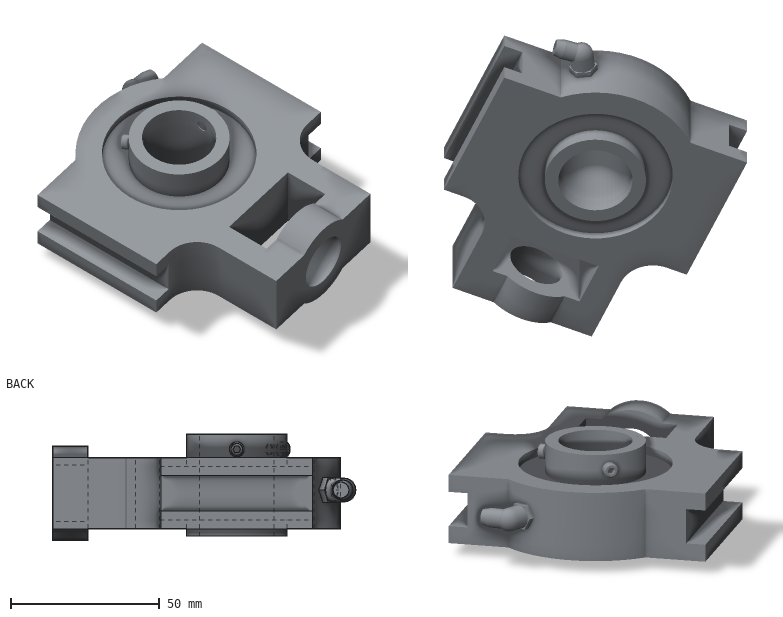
import cadquery as cq
import math


housing_thickness = 24.0
shell_radius = 34.9
wing_half_length = 25.5
wing_width = 89.0
wing_half_width = wing_width / 2
arm_end = 61.9
arm_half_width = 25.5
corner_radius = 11.7

groove_width = 12.0
groove_depth = 6.6

window_start = 34.0
window_end = 50.0
window_width = 31.8
boss_diameter = 31.8
boss_bore = 19.0

race_diameter = 52.0
race_width = 17.9
ring_diameter = 33.9
ring_bore = 25.0
ring_top = 19.9
ring_bottom = -14.4

screw_diameter = 5.0
screw_tip_radius = 19.6
screw_height = 14.8
screw_chamfer = 0.5
screw_point_diameter = 3.9
screw_point_recess = 0.3
socket_across_flats = 2.2
socket_depth = 2.0
screw_angles = (90, 210)

nipple_angle = 150
nipple_height = 1.1
hex_across_flats = 8.3
hex_face_radius = 36.8
elbow_diameter = 8.0
elbow_radius = 41.6
spout_angle = 84
spout_diameter = 6.6
spout_shoulder = 6.6
spout_length = 9.4
spout_tip_diameter = 5.3
nipple_root_radius = 30.6


def radial_plane(angle, radius, height):
    """Plane facing outward along a radius, with its local Y axis along Z."""
    turn = math.radians(angle)
    outward = (math.cos(turn), math.sin(turn), 0)
    sideways = (-math.sin(turn), math.cos(turn), 0)
    origin = (radius * outward[0], radius * outward[1], height)
    return cq.Plane(origin=origin, xDir=sideways, normal=outward)


def hexagon(plane, across_flats, length):
    """Hexagonal bar with two flats facing up and down."""
    across_corners = across_flats / math.cos(math.pi / 6)
    return cq.Workplane(plane).polygon(6, across_corners).extrude(length)


def make_housing_plate():
    shell_y = math.sqrt(shell_radius**2 - wing_half_length**2)
    fillet_x = wing_half_length + corner_radius
    fillet_y = arm_half_width + corner_radius
    outline = (
        cq.Workplane("XY", origin=(0, 0, -housing_thickness / 2))
        .moveTo(-wing_half_length, shell_y)
        .lineTo(-wing_half_length, wing_half_width)
        .lineTo(wing_half_length, wing_half_width)
        .lineTo(wing_half_length, fillet_y)
        .radiusArc((fillet_x, arm_half_width), -corner_radius)
        .lineTo(arm_end, arm_half_width)
        .lineTo(arm_end, -arm_half_width)
        .lineTo(fillet_x, -arm_half_width)
        .radiusArc((wing_half_length, -fillet_y), -corner_radius)
        .lineTo(wing_half_length, -wing_half_width)
        .lineTo(-wing_half_length, -wing_half_width)
        .lineTo(-wing_half_length, -shell_y)
        .threePointArc((-shell_radius, 0), (-wing_half_length, shell_y))
        .close()
    )
    return outline.extrude(housing_thickness)


def cut_guide_grooves(plate):
    for side in (-1, 1):
        groove = cq.Workplane("XY").box(2 * wing_half_length, 2 * groove_depth, groove_width)
        plate = plate.cut(groove.translate((0, side * wing_half_width, 0)))
    return plate


def add_screw_boss(plate):
    window_length = window_end - window_start
    window = cq.Workplane("XY").box(window_length, window_width, housing_thickness)
    plate = plate.cut(window.translate(((window_start + window_end) / 2, 0, 0)))
    end_wall = cq.Workplane("YZ", origin=(window_end, 0, 0))
    boss_length = arm_end - window_end
    boss = end_wall.circle(boss_diameter / 2).extrude(boss_length)
    bore = end_wall.circle(boss_bore / 2).extrude(boss_length)
    return plate.union(boss).cut(bore)


def revolved_on(plane, profile):
    """Turn an XZ profile about the Z axis and stand it on a plane."""
    turned = profile.revolve(360, (0, 0, 0), (0, 1, 0))
    return cq.Workplane(turned.val().located(cq.Location(plane)))


def make_grease_nipple():
    root = radial_plane(nipple_angle, nipple_root_radius, nipple_height)
    hex_base = hexagon(root, hex_across_flats, hex_face_radius - nipple_root_radius)

    neck_length = elbow_radius - nipple_root_radius
    elbow_half = elbow_diameter / 2
    neck_profile = (
        cq.Workplane("XZ")
        .lineTo(elbow_half, 0)
        .lineTo(elbow_half, neck_length)
        .radiusArc((0, neck_length + elbow_half), -elbow_half)
        .close()
    )
    neck = revolved_on(root, neck_profile)

    spout_profile = (
        cq.Workplane("XZ")
        .lineTo(spout_diameter / 2, 0)
        .lineTo(spout_diameter / 2, spout_shoulder)
        .lineTo(spout_tip_diameter / 2, spout_length)
        .lineTo(0, spout_length)
        .close()
    )
    elbow_center = radial_plane(nipple_angle, elbow_radius, nipple_height).origin
    spout_direction = radial_plane(spout_angle, 0, 0).zDir
    spout_plane = cq.Plane(origin=elbow_center, xDir=(0, 0, 1), normal=spout_direction)
    spout = revolved_on(spout_plane, spout_profile)
    return hex_base.union(neck).union(spout)


def make_housing():
    """Housing together with its grease nipple."""
    housing = add_screw_boss(cut_guide_grooves(make_housing_plate()))
    housing = housing.union(make_grease_nipple())
    seat = cq.Workplane("XY").circle(race_diameter / 2).extrude(housing_thickness / 2, both=True)
    return housing.cut(seat)


def add_set_screw(insert, angle):
    """Set screw with a hexagon socket; its point sits just below the bore surface."""
    center = radial_plane(angle, 0, screw_height)
    socket_floor = radial_plane(angle, screw_tip_radius - socket_depth, screw_height)
    screw_start = (ring_bore + ring_diameter) / 4
    screw = (
        cq.Workplane(center)
        .workplane(offset=screw_start)
        .circle(screw_diameter / 2)
        .extrude(screw_tip_radius - screw_start)
        .faces(cq.selectors.DirectionMinMaxSelector(center.zDir))
        .chamfer(screw_chamfer)
    )
    socket = hexagon(socket_floor, socket_across_flats, socket_depth)
    point_hole = (
        cq.Workplane(center)
        .circle(screw_point_diameter / 2)
        .extrude(ring_bore / 2 + screw_point_recess)
    )
    return insert.union(screw).cut(socket).cut(point_hole)


def make_bearing_insert():
    """Bearing rings together with the set screws of the inner ring."""
    race = cq.Workplane("XY").circle(race_diameter / 2).extrude(race_width / 2, both=True)
    ring_base = cq.Workplane("XY", origin=(0, 0, ring_bottom))
    ring_length = ring_top - ring_bottom
    ring = ring_base.circle(ring_diameter / 2).extrude(ring_length)
    bore = ring_base.circle(ring_bore / 2).extrude(ring_length)
    insert = race.union(ring).cut(bore)
    for angle in screw_angles:
        insert = add_set_screw(insert, angle)
    return insert


housing = make_housing()
bearing_insert = make_bearing_insert()

result = cq.Compound.makeCompound([housing.val(), bearing_insert.val()])